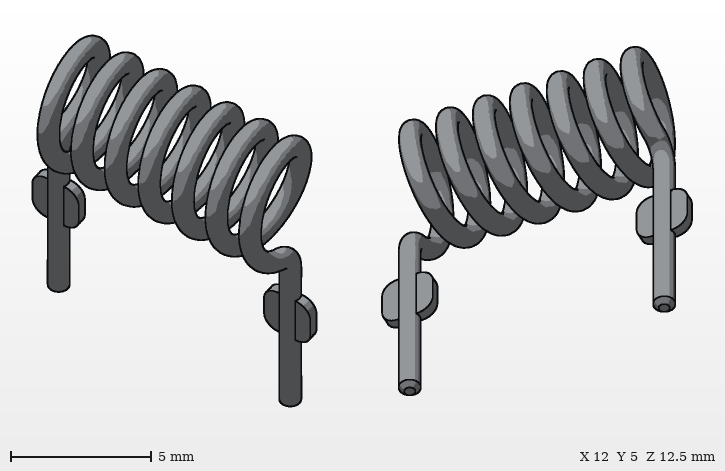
import cadquery as cq
import math


wire_diameter = 0.8
coil_outer_diameter = 5.0
leg_spacing = 10.0
whole_turns = 7
bend_radius = 1.05

total_height = 12.45
leg_below_seat = 3.6
tip_chamfer = 0.2

tab_width = 2.0
tab_height = 2.0
tab_thickness = 0.4
tab_corner_radius = 0.6

wire_radius = wire_diameter / 2
coil_radius = (coil_outer_diameter - wire_diameter) / 2
leg_x = leg_spacing / 2
coil_axis_z = total_height - leg_below_seat - coil_outer_diameter / 2

centre_distance = coil_radius + bend_radius
join_angle = math.asin(bend_radius / centre_distance)
leg_top_z = coil_axis_z - centre_distance * math.cos(join_angle)

coil_turns = whole_turns - 2 * join_angle / math.tau
coil_pitch = leg_spacing / coil_turns


def make_coil():
    """Right-handed helix swept along Z, then turned onto the X axis."""
    path = cq.Wire.makeHelix(coil_pitch, leg_spacing, coil_radius)
    profile = cq.Workplane("XZ").center(coil_radius, 0).circle(wire_radius)
    coil = profile.sweep(cq.Workplane(path), isFrenet=True)
    coil = coil.rotate((0, 0, 0), (0, 1, 0), 90)
    coil = coil.rotate((0, 0, 0), (1, 0, 0), math.degrees(join_angle))
    return coil.translate((-leg_x, 0, coil_axis_z))


def make_bend():
    """Arc from the leg top up to the start of the coil."""
    bend_angle = 90 - math.degrees(join_angle)
    return (
        cq.Workplane("XY", origin=(-leg_x, 0, leg_top_z))
        .circle(wire_radius)
        .revolve(bend_angle, (0, bend_radius), (-1, bend_radius))
    )


def make_pin():
    """Straight round leg with a conical tip."""
    return (
        cq.Workplane("XY", origin=(-leg_x, 0, -leg_below_seat))
        .circle(wire_radius)
        .extrude(leg_below_seat + leg_top_z)
        .faces("<Z")
        .chamfer(tip_chamfer)
    )


def make_tab():
    """Flat plate with rounded corners, centred on the leg."""
    return (
        cq.Workplane("XY", origin=(-leg_x, 0, 0))
        .box(tab_width, tab_thickness, tab_height, centered=(True, True, False))
        .edges("|Y")
        .fillet(tab_corner_radius)
    )


left_leg = make_pin().union(make_tab()).union(make_bend())
right_leg = left_leg.rotate((0, 0, 0), (0, 0, 1), 180)

result = make_coil().union(left_leg).union(right_leg)